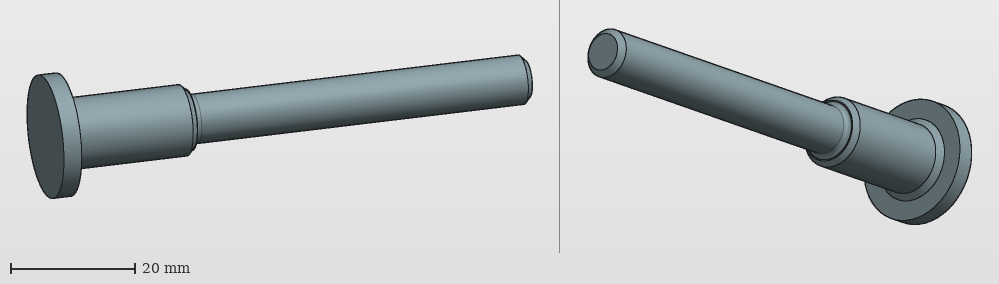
import cadquery as cq

total_length = 81.0
head_diameter = 20.0
head_thickness = 3.0
collar_diameter = 11.6
collar_end = 24.05
shank_diameter = 8.0
edge_size = head_thickness / 3

head_radius = head_diameter / 2
collar_radius = collar_diameter / 2
shank_radius = shank_diameter / 2

half_section = (
    cq.Workplane("XY")
    .lineTo(head_radius, 0)
    .lineTo(head_radius, head_thickness)
    .lineTo(collar_radius + edge_size, head_thickness)
    .lineTo(collar_radius, head_thickness + edge_size)
    .lineTo(collar_radius, collar_end - edge_size)
    .lineTo(collar_radius - edge_size, collar_end)
    .lineTo(shank_radius + edge_size, collar_end)
    .radiusArc((shank_radius, collar_end + edge_size), edge_size)
    .lineTo(shank_radius, total_length - edge_size)
    .lineTo(shank_radius - edge_size, total_length)
    .lineTo(0, total_length)
    .close()
)

result = half_section.revolve(360, (0, 0, 0), (0, 1, 0))